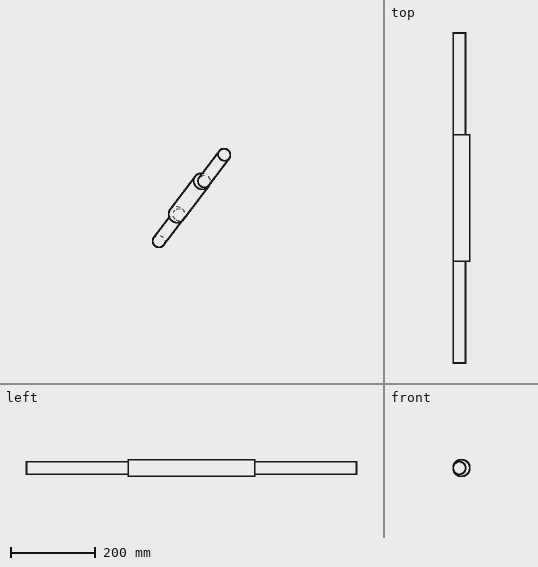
import cadquery as cq

total_length = 780.0
journal_length = 240.0
body_diameter = 40.0
journal_diameter = 30.0

body_length = total_length - 2 * journal_length
eccentricity = (body_diameter - journal_diameter) / 2


def cylinder_along_y(diameter, length, center_x):
    """Solid cylinder parallel to Y, centred on Y = 0 and Z = 0."""
    return (
        cq.Workplane("XZ")
        .center(center_x, 0)
        .circle(diameter / 2)
        .extrude(length / 2, both=True)
    )


body = cylinder_along_y(body_diameter, body_length, 0)

journals = cylinder_along_y(journal_diameter, total_length, -eccentricity)

result = body.union(journals)